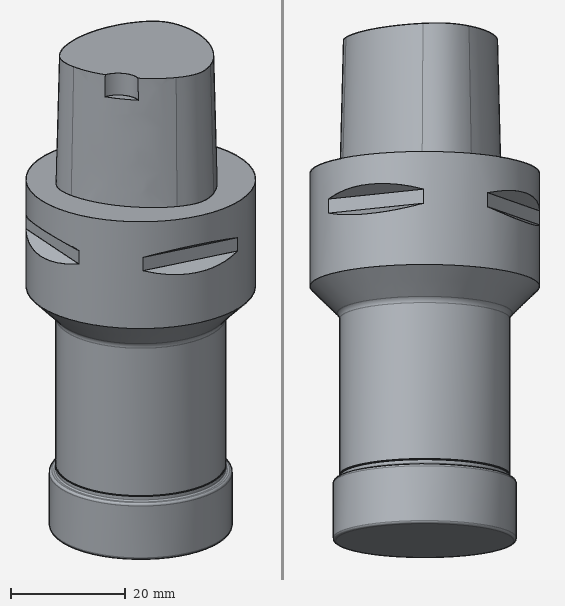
import cadquery as cq
import math

TOTAL_HEIGHT = 89.0
SHANK_HEIGHT = 23.9
FLANGE_HEIGHT = 20.0
FLANGE_TOP = TOTAL_HEIGHT - SHANK_HEIGHT
FLANGE_BOTTOM = FLANGE_TOP - FLANGE_HEIGHT

FLANGE_DIAMETER = 40.0
BODY_DIAMETER = 29.6
NUT_DIAMETER = 31.9
FLANGE_RADIUS = FLANGE_DIAMETER / 2
BODY_RADIUS = BODY_DIAMETER / 2
NUT_RADIUS = NUT_DIAMETER / 2

CONE_BOTTOM = FLANGE_BOTTOM - (FLANGE_RADIUS - BODY_RADIUS)
CONE_BLEND_RADIUS = 1.4

NUT_TOP = 11.5
NUT_SHOULDER = 10.6
COLLAR_ROOT_FILLET = 0.3
NUT_SHOULDER_FILLET = 0.45
NUT_BOTTOM_FILLET = 0.45

BODY_CHAMFER = 0.2

SHANK_BASE_WIDTH = 28.0
SHANK_TAPER = 1 / 20
SHANK_TOP_WIDTH = SHANK_BASE_WIDTH - SHANK_TAPER * SHANK_HEIGHT
LOBE_HEIGHT = 1.0
LOBE_COUNT = 3
SHANK_FACE_COUNT = 2 * LOBE_COUNT
LOBE_DIRECTION = math.pi / 2
POINTS_PER_FACE = 9

NOTCH_RADIUS = 3.7
NOTCH_CENTER_Y = -14.5
NOTCH_DEPTH = 4.1

GRIPPER_COUNT = 4
GRIPPER_FIRST_ANGLE = 45.0
GRIPPER_CENTER_Z = FLANGE_TOP - 7.9
GRIPPER_FLOOR_DISTANCE = 17.6
GRIPPER_FLOOR_HEIGHT = 2.5
GRIPPER_WALL_ANGLE = 30.0


def lobed_point(width, angle, z):
    """Point of a constant-width lobed curve where the outward normal has the given angle."""
    phase = LOBE_COUNT * (angle - LOBE_DIRECTION)
    reach = width / 2 + LOBE_HEIGHT * math.cos(phase)
    slope = -LOBE_COUNT * LOBE_HEIGHT * math.sin(phase)
    x = reach * math.cos(angle) - slope * math.sin(angle)
    y = reach * math.sin(angle) + slope * math.cos(angle)
    return cq.Vector(x, y, z)


def lobed_outline(width, z):
    """Closed outline of alternating lobe and side curves, tangent to each other."""
    step = 2 * math.pi / SHANK_FACE_COUNT
    edges = []
    for face in range(SHANK_FACE_COUNT):
        start = face * step
        end = start + step
        points = [
            lobed_point(width, start + step * i / (POINTS_PER_FACE - 1), z)
            for i in range(POINTS_PER_FACE)
        ]
        tangents = [cq.Vector(-math.sin(a), math.cos(a), 0) for a in (start, end)]
        edges.append(cq.Edge.makeSpline(points, tangents=tangents))
    return cq.Wire.assembleEdges(edges)


def make_shank():
    base = lobed_outline(SHANK_BASE_WIDTH, FLANGE_TOP)
    top = lobed_outline(SHANK_TOP_WIDTH, TOTAL_HEIGHT)
    shank = cq.Workplane(obj=cq.Solid.makeLoft([base, top], True))
    notch = (
        cq.Workplane("XY", origin=(0, NOTCH_CENTER_Y, TOTAL_HEIGHT - NOTCH_DEPTH))
        .circle(NOTCH_RADIUS)
        .extrude(NOTCH_DEPTH)
    )
    return shank.cut(notch)


def make_turned_body():
    """Flange, cone and cylinder with its broken bottom edge, as one turned shape."""
    blend_reach = CONE_BLEND_RADIUS * math.tan(math.radians(45 / 2))
    blend_leg = blend_reach * math.cos(math.radians(45))
    blend_center_r = BODY_RADIUS + CONE_BLEND_RADIUS
    blend_bottom = CONE_BOTTOM - blend_reach
    mid_angle = math.radians(45 / 2)
    blend_middle = (
        blend_center_r - CONE_BLEND_RADIUS * math.cos(mid_angle),
        blend_bottom + CONE_BLEND_RADIUS * math.sin(mid_angle),
    )
    return (
        cq.Workplane("XZ")
        .moveTo(0, NUT_TOP)
        .lineTo(BODY_RADIUS - BODY_CHAMFER, NUT_TOP)
        .lineTo(BODY_RADIUS, NUT_TOP + BODY_CHAMFER)
        .lineTo(BODY_RADIUS, blend_bottom)
        .threePointArc(blend_middle, (BODY_RADIUS + blend_leg, CONE_BOTTOM + blend_leg))
        .lineTo(FLANGE_RADIUS, FLANGE_BOTTOM)
        .lineTo(FLANGE_RADIUS, FLANGE_TOP)
        .lineTo(0, FLANGE_TOP)
        .close()
        .revolve()
    )


def make_gripper_cutter():
    """Trapezoidal bar that widens outward, lying across the +X side of the flange."""
    depth = FLANGE_RADIUS - GRIPPER_FLOOR_DISTANCE
    half_floor = GRIPPER_FLOOR_HEIGHT / 2
    half_mouth = half_floor + depth * math.tan(math.radians(GRIPPER_WALL_ANGLE))
    return (
        cq.Workplane("XZ", origin=(0, 0, GRIPPER_CENTER_Z))
        .polyline([
            (GRIPPER_FLOOR_DISTANCE, -half_floor),
            (FLANGE_RADIUS, -half_mouth),
            (FLANGE_RADIUS, half_mouth),
            (GRIPPER_FLOOR_DISTANCE, half_floor),
        ])
        .close()
        .extrude(FLANGE_RADIUS, both=True)
    )


def make_holder():
    holder = make_turned_body().union(make_shank())
    cutter = make_gripper_cutter()
    for i in range(GRIPPER_COUNT):
        angle = GRIPPER_FIRST_ANGLE + i * 360 / GRIPPER_COUNT
        holder = holder.cut(cutter.rotate((0, 0, 0), (0, 0, 1), angle))
    return holder


def make_nut():
    """Clamping nut with rounded edges and a short collar above its shoulder."""
    ring = cq.Workplane("XY").circle(NUT_RADIUS).extrude(NUT_SHOULDER)
    ring = ring.faces("<Z").edges().fillet(NUT_BOTTOM_FILLET)
    ring = ring.faces(">Z").edges().fillet(NUT_SHOULDER_FILLET)
    collar = (
        cq.Workplane("XZ")
        .moveTo(0, NUT_TOP)
        .lineTo(BODY_RADIUS, NUT_TOP)
        .lineTo(BODY_RADIUS, NUT_SHOULDER + COLLAR_ROOT_FILLET)
        .radiusArc((BODY_RADIUS + COLLAR_ROOT_FILLET, NUT_SHOULDER), -COLLAR_ROOT_FILLET)
        .lineTo(0, NUT_SHOULDER)
        .close()
        .revolve()
    )
    return ring.union(collar)


holder = make_holder()
nut = make_nut()

result = cq.Compound.makeCompound([holder.val(), nut.val()])